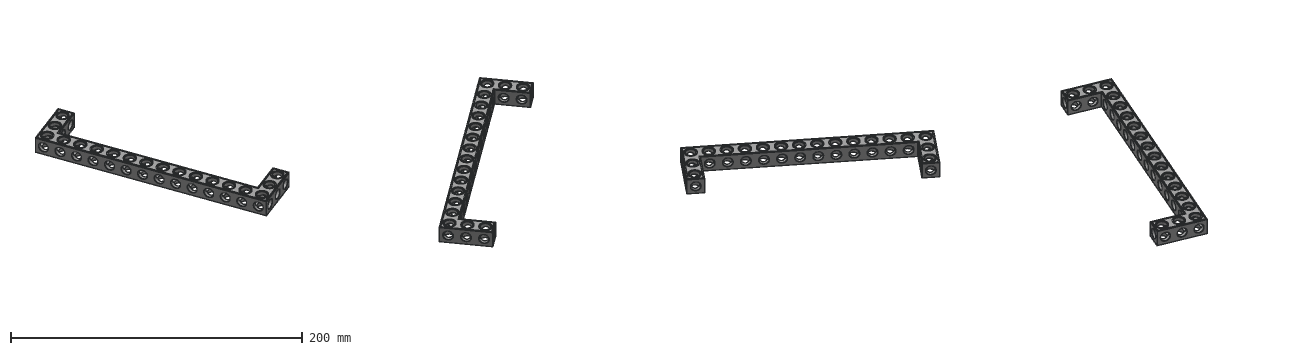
import cadquery as cq

length = 175.0
columns = 14
rows = 3
hole_diameter = 7.0
rim_width = 1.1
pocket_depth = 0.2
bevel = 0.3

pitch = length / columns
depth = rows * pitch
collar_diameter = hole_diameter + 2 * rim_width
left_x = -length / 2
front_y = -depth / 2
bottom_z = -pitch / 2
top_z = pitch / 2

along_x = cq.Vector(1, 0, 0)
along_y = cq.Vector(0, 1, 0)
along_z = cq.Vector(0, 0, 1)


def column_x(column):
    return left_x + (column + 0.5) * pitch


def row_y(row):
    return front_y + (row + 0.5) * pitch


bar_cells = [(column, 0) for column in range(columns)]
arm_cells = [(column, row) for column in (0, columns - 1) for row in range(1, rows)]
cell_centres = [(column_x(column), row_y(row)) for column, row in bar_cells + arm_cells]


def u_prism(inset, base_z, height):
    """U-shaped prism with every wall set in from the outline of the part."""
    outer_x = length / 2 - inset
    inner_x = length / 2 - pitch + inset
    low_y = front_y + inset
    notch_y = front_y + pitch - inset
    high_y = depth / 2 - inset
    points = [
        (-outer_x, low_y),
        (outer_x, low_y),
        (outer_x, high_y),
        (inner_x, high_y),
        (inner_x, notch_y),
        (-inner_x, notch_y),
        (-inner_x, high_y),
        (-outer_x, high_y),
    ]
    return cq.Workplane("XY", origin=(0, 0, base_z)).polyline(points).close().extrude(height)


def top_pocket():
    """Shallow recess in the top face that leaves the rim and the hole collars standing."""
    floor_z = top_z - pocket_depth
    collars = (
        cq.Workplane("XY", origin=(0, 0, floor_z))
        .pushPoints(cell_centres)
        .circle(collar_diameter / 2)
        .extrude(pocket_depth)
    )
    return u_prism(rim_width, floor_z, pocket_depth).cut(collars)


def bevelled_hole(start, direction, hole_length):
    """Cutters for a through hole: the bore and a bevel at each mouth."""
    radius = hole_diameter / 2
    end = start + direction * hole_length
    return [
        cq.Solid.makeCylinder(radius, hole_length, start, direction),
        cq.Solid.makeCone(radius + bevel, radius, bevel, start, direction),
        cq.Solid.makeCone(radius + bevel, radius, bevel, end, -direction),
    ]


def vertical_holes():
    """One hole down through every grid cell."""
    cutters = []
    for x, y in cell_centres:
        cutters += bevelled_hole(cq.Vector(x, y, bottom_z), along_z, pitch)
    return cutters


def front_to_back_holes():
    """Holes along Y: full depth through the two arms, bar width in between."""
    cutters = []
    for column in range(columns):
        hole_length = depth if column in (0, columns - 1) else pitch
        cutters += bevelled_hole(cq.Vector(column_x(column), front_y, 0), along_y, hole_length)
    return cutters


def side_to_side_holes():
    """Holes along X: one through the whole bar, and one per cell of each arm."""
    cutters = bevelled_hole(cq.Vector(left_x, row_y(0), 0), along_x, length)
    for column, row in arm_cells:
        start = cq.Vector(left_x + column * pitch, row_y(row), 0)
        cutters += bevelled_hole(start, along_x, pitch)
    return cutters


result = u_prism(0, bottom_z, pitch).edges().chamfer(bevel).cut(top_pocket())
for cutter in vertical_holes() + front_to_back_holes() + side_to_side_holes():
    result = result.cut(cutter)